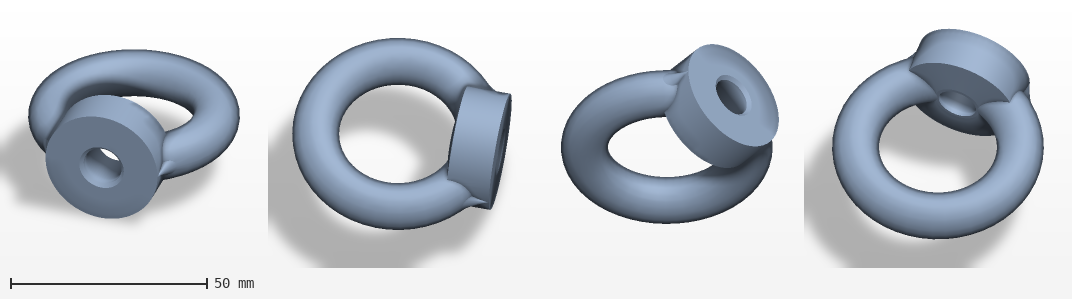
import cadquery as cq

ring_outer_radius = 26.95
base_radius = 15.01
ring_inner_radius = base_radius
tube_radius = (ring_outer_radius - ring_inner_radius) / 2
ring_mean_radius = ring_inner_radius + tube_radius
ring_center_y = 26.5
ring_overhang = ring_outer_radius - ring_center_y

base_side_height = 11.05
base_height = 12.5
base_top_radius = tube_radius

hole_radius = 10.15 / 2
countersink_radius = tube_radius
countersink_depth = countersink_radius - hole_radius

web_height = 6.8
web_mid_radius = 1.25
web_top_radius = 3.25


def make_ring():
    """Round ring lying in the XY plane."""
    return cq.Workplane(
        cq.Solid.makeTorus(ring_mean_radius, tube_radius, cq.Vector(0, ring_center_y, 0))
    ).rotate((0, ring_center_y, 0), (0, ring_center_y, 1), -90)


def revolve_about_y(points):
    """Turn an outline of (radius, y) points about the Y axis."""
    return cq.Workplane("XY").polyline(points).close().revolve(360, (0, 0, 0), (0, 1, 0))


def make_base():
    """Round base with a shallow conical top ending in a small flat."""
    return revolve_about_y([
        (0, 0),
        (base_radius, 0),
        (base_radius, base_side_height),
        (base_top_radius, base_height),
        (0, base_height),
    ])


def make_hole():
    """Through hole with a 45 degree countersink at the bottom face."""
    return revolve_about_y([
        (0, -ring_overhang),
        (countersink_radius, -ring_overhang),
        (countersink_radius, 0),
        (hole_radius, countersink_depth),
        (hole_radius, base_height),
        (0, base_height),
    ])


def make_web(side):
    """Flared spike widening from the base rim up into the ring; side is +1 or -1 along X."""
    return (
        cq.Workplane("XY", origin=(side * base_radius, 0, 0))
        .moveTo(0, 0)
        .threePointArc((web_mid_radius, web_height / 2), (web_top_radius, web_height))
        .lineTo(0, web_height)
        .close()
        .revolve(360, (0, 0, 0), (0, 1, 0))
    )


body = make_base().union(make_ring())
for side in (-1, 1):
    body = body.union(make_web(side))
result = body.cut(make_hole())